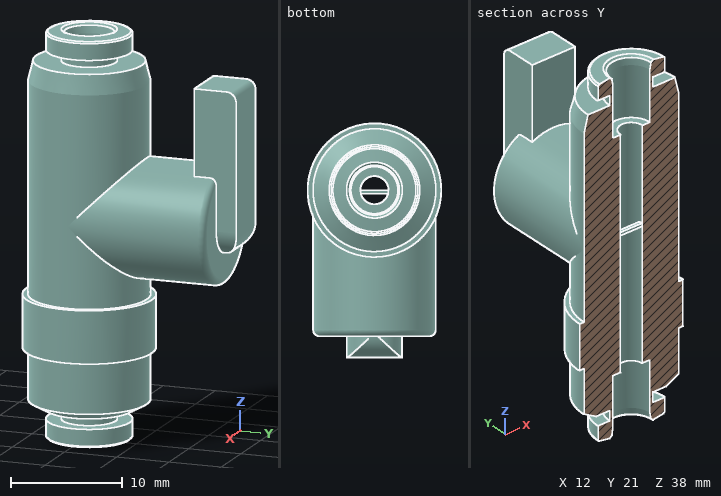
import cadquery as cq

total_height = 38
body_radius = 11.02 / 2

body_bottom = 2.93
body_top = 35.1
lower_bevel_height = 0.8
lower_bevel_radius = 4.05
upper_bevel_height = 1.82
upper_bevel_radius = 5.05
band_radius = 12.0 / 2
band_bottom = 8.5
band_height = 4.95

collar_radius = 7.8 / 2
neck_radius = 5.05 / 2
collar_height = 1.9
collar_edge_drop = 0.35
collar_face_radius = 3.72
collar_face_drop = 0.2

socket_radius = 4.2 / 2
socket_depth = 6.45
mouth_radius = 2.5
mouth_throat_radius = 2.25
mouth_depth = 0.23
taper_depth = 0.95
passage_radius = 2.5 / 2
web_thickness = 0.35

branch_height = 21.05
branch_end = 13.1
branch_fillet = 0.6
handle_width = 4.98
handle_outer = 15.0
handle_inner = 11.0
handle_top = 34.1
handle_top_fillet = 0.9
handle_bottom_fillet = 2.2


def make_body():
    """Turned body with a bevel at each end and a raised band."""
    profile = [
        (0, body_bottom),
        (lower_bevel_radius, body_bottom),
        (body_radius, body_bottom + lower_bevel_height),
        (body_radius, body_top - upper_bevel_height),
        (upper_bevel_radius, body_top),
        (0, body_top),
    ]
    body = cq.Workplane("XZ").polyline(profile).close().revolve(360, (0, 0), (0, 1))
    band = cq.Workplane("XY", origin=(0, 0, band_bottom)).circle(band_radius).extrude(band_height)
    return body.union(band)


def make_collar():
    """Bottom collar with a shallow conical end face, on a neck reaching into the body."""
    profile = [
        (0, 0),
        (mouth_radius, 0),
        (collar_face_radius, collar_face_drop),
        (collar_radius, collar_edge_drop),
        (collar_radius, collar_height),
        (neck_radius, collar_height),
        (neck_radius, body_bottom),
        (0, body_bottom),
    ]
    return cq.Workplane("XZ").polyline(profile).close().revolve(360, (0, 0), (0, 1))


def make_socket():
    """Bottom tube socket with a flared mouth, as a cutting solid."""
    profile = [
        (0, 0),
        (mouth_radius, 0),
        (mouth_throat_radius, mouth_depth),
        (socket_radius, taper_depth),
        (socket_radius, socket_depth),
        (0, socket_depth),
    ]
    return cq.Workplane("XZ").polyline(profile).close().revolve(360, (0, 0), (0, 1))


def to_top(shape):
    """Mirror a bottom-end shape to the top end."""
    return shape.mirror("XY", (0, 0, total_height / 2))


def make_branch():
    """Side cylinder starting on the main axis, with a rounded outer rim."""
    branch = cq.Workplane("XZ", origin=(0, 0, branch_height)).circle(body_radius).extrude(-branch_end)
    return branch.faces(">Y").edges().fillet(branch_fillet)


def make_handle():
    """Lever standing on the branch, with a half-round lower end and rounded outer corners."""
    half_width = handle_width / 2
    outline = (
        cq.Workplane("XZ", origin=(0, handle_inner, 0))
        .moveTo(-half_width, handle_top)
        .lineTo(-half_width, branch_height)
        .threePointArc((0, branch_height - half_width), (half_width, branch_height))
        .lineTo(half_width, handle_top)
        .close()
        .extrude(handle_inner - handle_outer)
    )
    handle_bottom = branch_height - half_width
    side = (
        cq.Workplane("XY", origin=(0, 0, handle_bottom))
        .center(0, (handle_inner + handle_outer) / 2)
        .rect(handle_width, handle_outer - handle_inner)
        .extrude(handle_top - handle_bottom)
    )
    side = side.faces(">Z").edges(">Y").fillet(handle_top_fillet)
    side = side.faces("<Z").edges(">Y").fillet(handle_bottom_fillet)
    return outline.intersect(side)


def make_web():
    """Thin web crossing the flow passage at the branch axis."""
    return (
        cq.Workplane("XY", origin=(0, web_thickness / 2, branch_height))
        .box(2 * neck_radius, web_thickness, web_thickness)
    )


outer = make_body().union(make_collar()).union(to_top(make_collar()))
outer = outer.union(make_branch()).union(make_handle())
passage = cq.Workplane("XY").circle(passage_radius).extrude(total_height)
hollow = outer.cut(passage).cut(make_socket()).cut(to_top(make_socket()))
result = hollow.union(make_web())